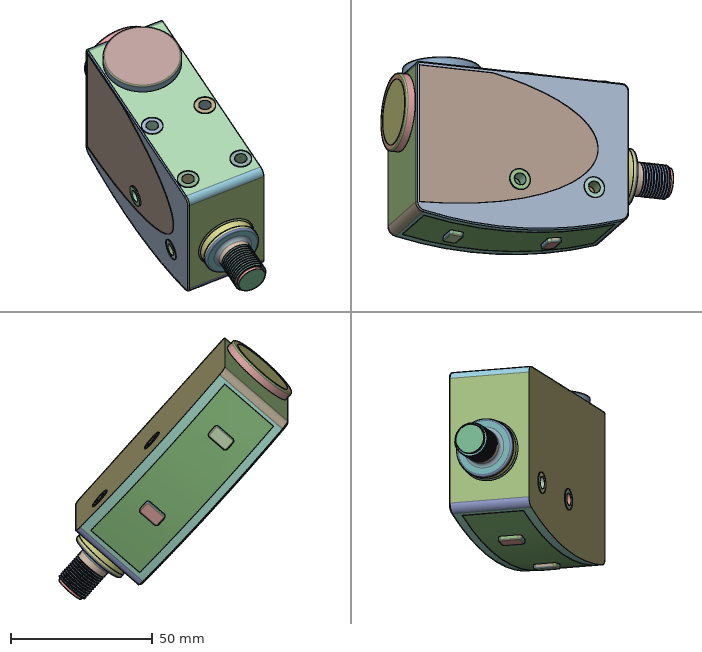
import cadquery as cq
import math

body_length = 79.9
body_width = 30.2
body_depth = 58.8
bottom_radius = 144.6
bottom_center_x = 31.5
bottom_center_z = bottom_radius - body_depth
top_left_radius = 1.5
top_right_radius = 2.6
bottom_corner_radius = 3.5
front_edge_chamfer = 0.5
front_y = -body_width / 2

label_margin_x = 1.2
label_margin_z = 1.4
label_center_x = -3.6
label_center_z = -25.5
label_half_length = 71.9
label_half_height = 27.0
label_depth = 0.2

lens_diameter = 27.9
lens_height = 3.2
lens_offset = 14.9
lens_rounding = 0.5
lens_root = 2.1
window_diameter = 23.5
window_depth = 0.1

boss_diameter = 7.6
boss_height = 0.3
boss_root = 1.0
boss_hole_diameter = 4.3
boss_hole_depth = 6.2
boss_spacing_x = 27.9
top_boss_x = 43.0
top_boss_spacing_y = 21.0
side_boss_x = 38.9
side_boss_z = -40.0

cover_width = 23.0
cover_depth = 0.1
cover_start_x = 4.1
cover_end_x = body_length - cover_start_x

tab_length = 5.1
tab_width = 8.7
tab_height = 1.5
tab_root = 1.0
tab_corner_radius = 1.0
tab_rounding = 0.4
tab_positions_x = (19.2, 55.9)

connector_z = -30.0
overall_length = 103.3
connector_length = overall_length - lens_height - body_length
flange_diameter = 20.9
flange_length = 5.2
flange_base_fillet = 0.5
collar_diameter = 21.1
collar_start = 3.3
collar_rounding = 0.7
neck_diameter = 12.2
neck_fillet = 1.3
tip_diameter = 10.5
thread_start = 8.5
thread_end = 19.0
thread_pitch = 1.0
thread_depth = 0.6
thread_groove_width = 0.9
thread_start_angle = 90.0
thread_overlap = 0.1


def bottom_z(x, radius=bottom_radius):
    """Height of the curved bottom at a given x."""
    return bottom_center_z - math.sqrt(radius**2 - (x - bottom_center_x) ** 2)


def make_housing():
    lowest = (bottom_center_x, -body_depth)
    housing = (
        cq.Workplane("XZ", origin=(0, -front_y, 0))
        .lineTo(body_length, 0)
        .lineTo(body_length, bottom_z(body_length))
        .threePointArc(lowest, (0, bottom_z(0)))
        .close()
        .extrude(body_width)
    )
    housing = housing.edges("|Y and <X and >Z").fillet(top_left_radius)
    housing = housing.edges("|Y and >X and >Z").fillet(top_right_radius)
    housing = housing.edges("|Y and (not >Z)").edges("<Z or >X").fillet(bottom_corner_radius)
    return housing.faces("<Y").chamfer(front_edge_chamfer)


def make_label_recess():
    ellipse = (
        cq.Workplane("XZ", origin=(label_center_x, front_y + label_depth, label_center_z))
        .ellipse(label_half_length, label_half_height)
        .extrude(label_depth)
    )
    frame = cq.Workplane("XY").box(body_length, body_width, body_depth, centered=(False, True, False))
    return ellipse.intersect(frame.translate((label_margin_x, 0, -label_margin_z - body_depth)))


def make_lens():
    """Lens ring along +Z with its mounting plane at z = 0."""
    lens = cq.Workplane("XY", origin=(0, 0, -lens_root)).circle(lens_diameter / 2)
    return lens.extrude(lens_root + lens_height).faces(">Z").edges().fillet(lens_rounding)


def add_lenses(body):
    top_lens = make_lens().translate((lens_offset, 0, 0))
    left_lens = make_lens().faces(">Z").workplane().circle(window_diameter / 2).cutBlind(-window_depth)
    left_lens = left_lens.rotate((0, 0, 0), (0, 1, 0), -90).translate((0, 0, -lens_offset))
    return body.union(top_lens).union(left_lens)


def add_boss(body, position, outward):
    """Raised ring with a blind hole on a flat face with the given outward direction."""
    face = cq.Workplane(cq.Plane(origin=position, normal=outward))
    ring = face.workplane(offset=-boss_root).circle(boss_diameter / 2).extrude(boss_root + boss_height)
    drill = face.workplane(offset=boss_height).circle(boss_hole_diameter / 2).extrude(-boss_hole_depth)
    return body.union(ring).cut(drill)


def add_bosses(body):
    for step in (0, boss_spacing_x):
        for side in (-1, 1):
            top_position = (top_boss_x + step, side * top_boss_spacing_y / 2, 0)
            body = add_boss(body, top_position, (0, 0, 1))
            side_position = (side_boss_x + step, side * body_width / 2, side_boss_z)
            body = add_boss(body, side_position, (0, side, 0))
    return body


def make_cover_recess():
    inner_radius = bottom_radius - cover_depth
    return (
        cq.Workplane("XZ", origin=(0, cover_width / 2, 0))
        .moveTo(cover_start_x, -body_depth)
        .lineTo(cover_start_x, bottom_z(cover_start_x, inner_radius))
        .threePointArc(
            (bottom_center_x, cover_depth - body_depth),
            (cover_end_x, bottom_z(cover_end_x, inner_radius)),
        )
        .lineTo(cover_end_x, -body_depth)
        .close()
        .extrude(cover_width)
    )


def make_tab(x):
    """Rounded tab standing square to the curved bottom at the given x."""
    tab = (
        cq.Workplane("XY", origin=(bottom_center_x, 0, tab_root - body_depth))
        .rect(tab_length, tab_width)
        .extrude(-tab_root - tab_height)
        .edges("|Z").fillet(tab_corner_radius)
        .faces("<Z").edges().fillet(tab_rounding)
    )
    tilt = -math.degrees(math.asin((x - bottom_center_x) / bottom_radius))
    pivot = (bottom_center_x, 0, bottom_center_z)
    return tab.rotate(pivot, (bottom_center_x, 1, bottom_center_z), tilt)


def make_thread_groove():
    """Helical V cutter along +Z for the neck."""
    radius = neck_diameter / 2
    half_mouth = thread_groove_width / 2
    helix = cq.Wire.makeHelix(thread_pitch, thread_end - thread_start, radius)
    groove = (
        cq.Workplane("XZ")
        .moveTo(radius - thread_depth, 0)
        .lineTo(radius + thread_overlap, half_mouth)
        .lineTo(radius + thread_overlap, -half_mouth)
        .close()
        .sweep(cq.Workplane(obj=helix), isFrenet=True)
    )
    return groove.rotate((0, 0, 0), (0, 0, 1), thread_start_angle).translate((0, 0, thread_start))


def make_connector():
    """Flange, neck and thread along +Z, turned to +X at the end."""
    flange = cq.Workplane("XY").circle(flange_diameter / 2).extrude(collar_start)
    foot = (
        cq.Workplane("XY")
        .circle(flange_diameter / 2 + flange_base_fillet)
        .workplane(offset=flange_base_fillet)
        .circle(flange_diameter / 2)
        .loft()
    )
    collar = (
        cq.Workplane("XY", origin=(0, 0, collar_start))
        .circle(collar_diameter / 2)
        .extrude(flange_length - collar_start)
        .faces(">Z").edges().fillet(collar_rounding)
    )
    neck_radius = neck_diameter / 2
    neck = (
        cq.Workplane("XZ")
        .moveTo(0, flange_length)
        .lineTo(neck_radius + neck_fillet, flange_length)
        .radiusArc((neck_radius, flange_length + neck_fillet), neck_fillet)
        .lineTo(neck_radius, thread_end)
        .lineTo(tip_diameter / 2, thread_end)
        .lineTo(tip_diameter / 2, connector_length)
        .lineTo(0, connector_length)
        .close()
        .revolve(360, (0, 0, 0), (0, 1, 0))
        .cut(make_thread_groove())
    )
    connector = flange.union(foot).union(collar).union(neck)
    return connector.rotate((0, 0, 0), (0, 1, 0), 90).translate((body_length, 0, connector_z))


body = make_housing().cut(make_label_recess()).cut(make_cover_recess())
body = add_bosses(add_lenses(body))
for tab_x in tab_positions_x:
    body = body.union(make_tab(tab_x))
result = body.union(make_connector())